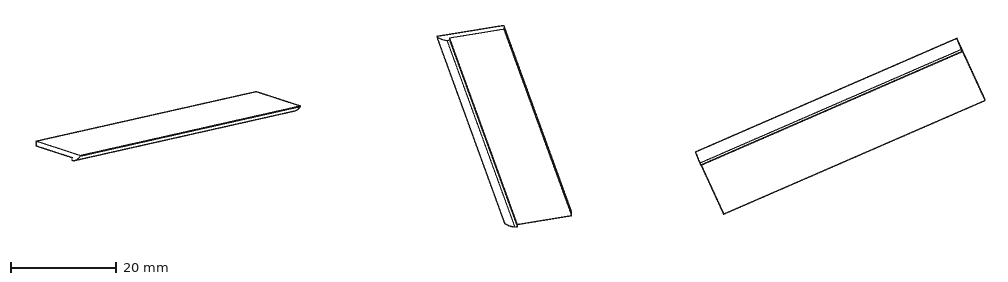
import cadquery as cq

length = 54.4
width = 13.1
height = 1.5

plate_thickness = 1.0
lip_width = 2.5
lip_flat = 0.5
edge_land = 0.15
curve_bulge = 0.15

right = width / 2
top = height / 2
bottom = -top
plate_bottom = top - plate_thickness
step_x = right - lip_width

curve_start = (step_x + lip_flat, bottom)
curve_end = (right, top - edge_land)
chord_x = curve_end[0] - curve_start[0]
chord_z = curve_end[1] - curve_start[1]
chord = (chord_x**2 + chord_z**2) ** 0.5
curve_middle = (
    (curve_start[0] + curve_end[0]) / 2 + curve_bulge * chord_z / chord,
    (curve_start[1] + curve_end[1]) / 2 - curve_bulge * chord_x / chord,
)

result = (
    cq.Workplane("XZ")
    .moveTo(-right, top)
    .lineTo(-right, plate_bottom)
    .lineTo(step_x, plate_bottom)
    .lineTo(step_x, bottom)
    .lineTo(*curve_start)
    .threePointArc(curve_middle, curve_end)
    .lineTo(right, top)
    .close()
    .extrude(length / 2, both=True)
)